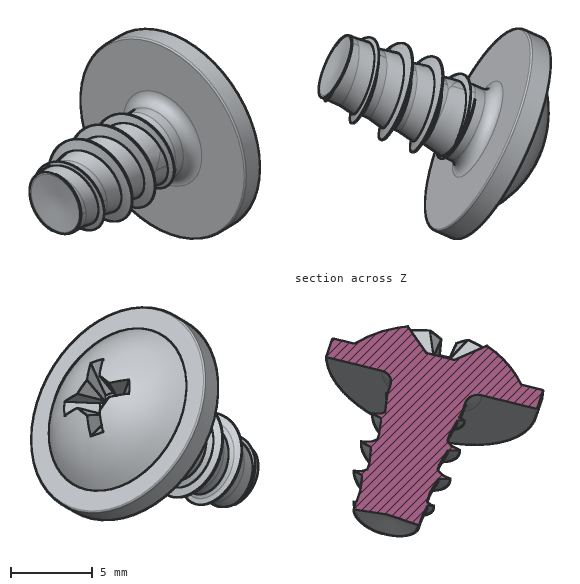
import math

import cadquery as cq


flange_radius = 6.75
flange_thickness = 1.44
flange_edge_fillet = 0.1
dome_base_radius = 5.33
dome_sphere_radius = 6.8
dome_height = dome_sphere_radius - math.sqrt(dome_sphere_radius**2 - dome_base_radius**2)
head_height = flange_thickness + dome_height

recess_depth = 2.0
wing_width = 0.96
wing_reach = 2.52
wing_bottom_reach = 0.9
centre_reach = 1.75
centre_bottom_reach = 0.9

shank_length = 10.0
neck_radius = 2.4
neck_fillet = 0.8
neck_length = 1.5
core_radius = 2.09
neck_taper_end = 3.2
tip_edge_chamfer = 0.05
tip_cup_radius = 1.95
tip_cup_depth = 0.2

pitch = 2.13
thread_turns = 3.98
thread_start = 1.48
thread_start_angle = -math.pi / 2
crest_radius = 3.0
start_crest_radius = 2.6
run_in_turns = 1.05
run_out_start_turn = 2.5
end_crest_radius = 2.13
crest_half_width = 0.04
head_flank_width = 0.47
head_flank_bend_offset = 0.18
head_flank_bend_height = 0.34
tip_flank_width = 0.22
shoulder_height = 0.22
ramp_end = 1.48
root_sink = 0.03
base_radius = 1.8
points_per_turn = 24

lip_radius = 2.42
lip_offset_x = -0.06
lip_offset_z = -0.18
lip_thickness = 0.06


def dome_surface_height(radius):
    """Y of the dome surface at a distance from the axis."""
    return head_height - dome_sphere_radius + math.sqrt(dome_sphere_radius**2 - radius**2)


def make_head_and_neck():
    """Flange with the dome and the tapering neck, both revolved about Y."""
    fillet_middle = neck_fillet * (1 - math.sqrt(0.5))
    dome_middle_radius = dome_base_radius / 2
    dome_middle_height = dome_surface_height(dome_middle_radius)
    inside_flange = flange_thickness / 2
    flange = (
        cq.Workplane("XZ")
        .circle(flange_radius)
        .extrude(-flange_thickness)
        .edges()
        .fillet(flange_edge_fillet)
    )
    dome_and_neck = (
        cq.Workplane("XY")
        .moveTo(0, head_height)
        .threePointArc((dome_middle_radius, dome_middle_height), (dome_base_radius, flange_thickness))
        .lineTo(dome_base_radius, inside_flange)
        .lineTo(neck_radius + neck_fillet, inside_flange)
        .lineTo(neck_radius + neck_fillet, 0)
        .threePointArc((neck_radius + fillet_middle, -fillet_middle), (neck_radius, -neck_fillet))
        .lineTo(neck_radius, -neck_length)
        .lineTo(core_radius, -neck_taper_end)
        .lineTo(0, -neck_taper_end)
        .close()
        .revolve(360, (0, 0, 0), (0, 1, 0))
    )
    return flange.union(dome_and_neck)


def crest_radius_at(turn):
    run_in = start_crest_radius + (crest_radius - start_crest_radius) * turn / run_in_turns
    run_out_share = (turn - run_out_start_turn) / (thread_turns - run_out_start_turn)
    run_out = crest_radius + (end_crest_radius - crest_radius) * run_out_share
    return min(crest_radius, run_in, run_out)


def thread_section(turn):
    """Corners (radius, axial offset from the crest) of the thread section.

    The flanks shrink with the crest height; a shallow ramp runs from the tip-side
    flank down to the core.
    """
    crest = crest_radius_at(turn)
    height = (crest - core_radius) / (crest_radius - core_radius)
    root = core_radius - root_sink
    crest_half = crest_half_width * height
    head_root = -head_flank_width * height
    bend = core_radius + head_flank_bend_height * height
    return [
        (base_radius, head_root),
        (root, head_root),
        (bend, -head_flank_bend_offset * height),
        (crest, -crest_half),
        (crest, crest_half),
        (core_radius + shoulder_height * height, tip_flank_width * height),
        (root, ramp_end),
        (base_radius, ramp_end),
    ]


def thread_point(turn, radius, offset):
    angle = thread_start_angle + 2 * math.pi * turn
    y = -(thread_start + pitch * turn + offset)
    return cq.Vector(radius * math.cos(angle), y, radius * math.sin(angle))


def make_thread():
    """Right-handed ridge bounded by ruled strips between corner curves and two end faces."""
    steps = round(thread_turns * points_per_turn)
    turns = [thread_turns * step / steps for step in range(steps + 1)]
    rings = [[thread_point(turn, *corner) for corner in thread_section(turn)] for turn in turns]
    curves = [cq.Edge.makeSpline(list(points)) for points in zip(*rings)]
    neighbours = curves[1:] + curves[:1]
    faces = [cq.Face.makeRuledSurface(first, second) for first, second in zip(curves, neighbours)]
    for ring in (rings[0], rings[-1]):
        faces.append(cq.Face.makeFromWires(cq.Wire.makePolygon(ring, close=True)))
    ridge = cq.Solid.makeSolid(cq.Shell.makeShell(faces))
    return cq.Workplane(obj=ridge.fix())


def make_thread_lip():
    return (
        cq.Workplane("XZ", origin=(lip_offset_x, lip_thickness / 2 - thread_start, lip_offset_z))
        .circle(lip_radius)
        .extrude(lip_thickness)
    )


def make_recess_wing(angle):
    """One slot through the axis, with ends leaning in towards the bottom."""
    rim_height = dome_surface_height(wing_reach)
    floor = head_height - recess_depth
    slot = (
        cq.Workplane("XY")
        .moveTo(-wing_bottom_reach, floor)
        .lineTo(wing_bottom_reach, floor)
        .lineTo(wing_reach, rim_height)
        .lineTo(wing_reach, head_height)
        .lineTo(-wing_reach, head_height)
        .lineTo(-wing_reach, rim_height)
        .close()
        .extrude(wing_width / 2, both=True)
    )
    return slot.rotate((0, 0, 0), (0, 1, 0), angle)


def make_recess_centre():
    """Square funnel, corners on the wings, that bevels the inner corners of the cross."""
    return (
        cq.Workplane("XZ", origin=(0, head_height, 0))
        .polygon(4, 2 * centre_reach)
        .workplane(offset=recess_depth)
        .polygon(4, 2 * centre_bottom_reach)
        .loft(ruled=True)
    )


def make_tip_cup():
    cup = cq.Solid.makeCone(
        tip_cup_radius, 0, tip_cup_depth, cq.Vector(0, -shank_length, 0), cq.Vector(0, 1, 0)
    )
    return cq.Workplane(obj=cup)


def make_threaded_core():
    """Plain core with the thread, which is cut off flush with the tip."""
    core = cq.Workplane("XZ").circle(core_radius).extrude(shank_length)
    core = core.faces("<Y").edges().chamfer(tip_edge_chamfer)
    past_tip = cq.Workplane("XZ", origin=(0, -shank_length, 0)).circle(flange_radius).extrude(2 * pitch)
    return core.union(make_thread(), clean=False).cut(past_tip)


body = make_threaded_core().union(make_head_and_neck()).union(make_thread_lip())
for wing_angle in (0, 90):
    body = body.cut(make_recess_wing(wing_angle))
body = body.cut(make_recess_centre())
result = body.cut(make_tip_cup())